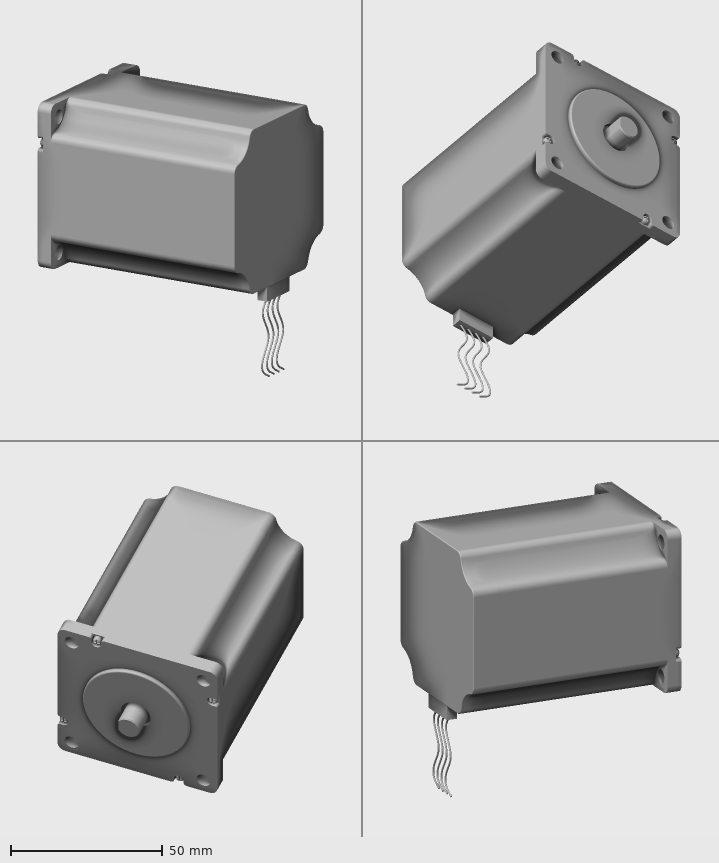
import cadquery as cq
import math


frame_side = 57.0
half_frame = frame_side / 2
motor_length = 76.1
front_cap_length = 8.0
rear_cap_length = 8.95
rear_fillet = 0.4

corner_cut_radius = 9.6
corner_cut_inset = 0.4
corner_fillet = 2.9

flange_thickness = 5.1
flange_corner_radius = 2.9
mounting_hole_diameter = 5.0
mounting_hole_spacing = 47.0

boss_diameter = 38.1
boss_height = 1.5
boss_fillet = 0.5
recess_diameter = 10.7
recess_depth = 1.5

shaft_diameter = 8.3
shaft_protrusion = 8.4
shaft_chamfer = 0.4
shaft_flat_distance = 3.4

screw_offset = 14.8
screw_inset = 2.0
notch_width = 3.5
notch_depth = 2.0
notch_lip_radius = 1.0
screw_head_diameter = 3.0
screw_rim_height = 0.8
screw_dome_height = 1.2
cross_length = 2.3
cross_width = 0.5
cross_depth = 0.9

connector_length = 3.7
connector_width = 14.15
connector_height = 5.1
wire_diameter = 0.6
wire_count = 4
wire_pitch = 3.1
wire_bundle_offset = 0.4
wire_root_depth = 0.3
wire_bends = [
    (-2.5, -3.85), (1.2, -13.2), (-0.8, -17.6), (-2.95, -22.5), (-2.4, -24.45), (-0.7, -26.0), (1.5, -27.1)
]
wire_start_direction = (-1.0, -0.9)
wire_end_direction = (1.0, -0.6)

cos_45 = math.cos(math.radians(45))

boss_face_x = -boss_height
recess_floor_x = boss_face_x + recess_depth
rear_split_x = motor_length - rear_cap_length
connector_rear_x = motor_length - rear_fillet
connector_bottom_z = -half_frame - connector_height


def axial_sketch(x):
    """Sketch plane facing the rear at the given X, with local axes Y and Z."""
    return cq.Workplane("YZ", origin=(x, 0, 0))


def frame_section(x_start, x_end):
    """Length of the motor body with its four hollow corners."""
    length = x_end - x_start
    cut_axis_spacing = frame_side - 2 * corner_cut_inset
    corner_cuts = (
        axial_sketch(x_start)
        .rect(cut_axis_spacing, cut_axis_spacing, forConstruction=True)
        .vertices()
        .circle(corner_cut_radius)
        .extrude(length)
    )
    return (
        axial_sketch(x_start)
        .rect(frame_side, frame_side)
        .extrude(length)
        .cut(corner_cuts)
        .edges("|X")
        .fillet(corner_fillet)
    )


def make_flange():
    return (
        axial_sketch(0)
        .rect(frame_side, frame_side)
        .extrude(flange_thickness)
        .edges("|X")
        .fillet(flange_corner_radius)
        .faces("<X")
        .workplane(origin=(0, 0, 0))
        .rect(mounting_hole_spacing, mounting_hole_spacing, forConstruction=True)
        .vertices()
        .hole(mounting_hole_diameter)
    )


def make_boss():
    return (
        axial_sketch(boss_face_x)
        .circle(boss_diameter / 2)
        .extrude(boss_height)
        .faces("<X")
        .edges()
        .fillet(boss_fillet)
    )


def make_notch():
    """Cutter for the notch in the +Z side of the flange, its mouth flared by two rounded lips."""
    half_width = notch_width / 2
    half_mouth = half_width + notch_lip_radius
    lip_sag = notch_lip_radius * (1 - cos_45)
    mouth_z = half_frame
    lip_z = mouth_z - notch_lip_radius
    bottom_z = mouth_z - screw_inset
    return (
        axial_sketch(0)
        .moveTo(screw_offset - half_mouth, mouth_z)
        .threePointArc(
            (screw_offset - half_width - lip_sag, mouth_z - lip_sag),
            (screw_offset - half_width, lip_z),
        )
        .lineTo(screw_offset - half_width, bottom_z)
        .threePointArc(
            (screw_offset, bottom_z - half_width),
            (screw_offset + half_width, bottom_z),
        )
        .lineTo(screw_offset + half_width, lip_z)
        .threePointArc(
            (screw_offset + half_width + lip_sag, mouth_z - lip_sag),
            (screw_offset + half_mouth, mouth_z),
        )
        .close()
        .extrude(notch_depth)
    )


def make_screw_head():
    """Domed head standing on the floor of the notch in the +Z side, with a cross recess."""
    radius = screw_head_diameter / 2
    height = screw_rim_height + screw_dome_height
    dome_radius = (radius ** 2 + screw_dome_height ** 2) / (2 * screw_dome_height)
    dome_centre = dome_radius - height
    mid_dome = dome_radius * cos_45
    head = (
        cq.Workplane("XY")
        .lineTo(0, radius)
        .lineTo(-screw_rim_height, radius)
        .threePointArc((dome_centre - mid_dome, mid_dome), (-height, 0))
        .close()
        .revolve(360, (0, 0, 0), (1, 0, 0))
    )
    bars = cq.Workplane("YZ", origin=(-height, 0, 0)).rect(cross_length, cross_width).extrude(cross_depth)
    cross = bars.union(bars.rotate((0, 0, 0), (1, 0, 0), 90))
    return head.cut(cross).translate((notch_depth, screw_offset, half_frame - screw_inset))


def make_front_cap():
    cap = make_flange().union(frame_section(flange_thickness, front_cap_length)).union(make_boss())
    notch = make_notch()
    screw_head = make_screw_head()
    for side in range(4):
        angle = 90 * side
        cap = cap.cut(notch.rotate((0, 0, 0), (1, 0, 0), angle))
        cap = cap.union(screw_head.rotate((0, 0, 0), (1, 0, 0), angle))
    recess = axial_sketch(boss_face_x).circle(recess_diameter / 2).extrude(recess_depth)
    bore = axial_sketch(boss_face_x).circle(shaft_diameter / 2).extrude(boss_height + front_cap_length)
    return cap.cut(recess).cut(bore)


def make_stator():
    return frame_section(front_cap_length, rear_split_x)


def make_connector():
    return cq.Workplane("XY").box(
        connector_length, connector_width, connector_height, centered=(False, True, False)
    ).translate((connector_rear_x - connector_length, 0, connector_bottom_z))


def make_wire(exit_y):
    """Wavy round wire hanging from the connector."""
    wire_x = connector_rear_x - connector_length / 2
    slope = wire_start_direction[0] / wire_start_direction[1]
    root = (slope * wire_root_depth, wire_root_depth)
    points = [(exit_y + y, connector_bottom_z + z) for y, z in [root] + wire_bends]
    path = axial_sketch(wire_x).spline(points, tangents=[wire_start_direction, wire_end_direction])
    start = cq.Plane(
        origin=(wire_x, *points[0]), xDir=(1, 0, 0), normal=(0, *wire_start_direction)
    )
    return cq.Workplane(start).circle(wire_diameter / 2).sweep(path)


def make_rear_cap():
    cap = (
        frame_section(rear_split_x, motor_length)
        .faces(">X")
        .edges()
        .fillet(rear_fillet)
        .union(make_connector())
    )
    for index in range(wire_count):
        exit_y = wire_bundle_offset + (index - (wire_count - 1) / 2) * wire_pitch
        cap = cap.union(make_wire(exit_y))
    return cap


def make_shaft():
    """Shaft with a flat on its +Y side from the tip to the recess floor."""
    shaft = (
        axial_sketch(-shaft_protrusion)
        .circle(shaft_diameter / 2)
        .extrude(shaft_protrusion + front_cap_length)
        .faces("<X")
        .chamfer(shaft_chamfer)
    )
    flat_length = shaft_protrusion + recess_floor_x
    flat_cut = cq.Workplane("XY").box(
        flat_length, shaft_diameter, shaft_diameter, centered=(False, False, True)
    ).translate((-shaft_protrusion, shaft_flat_distance, 0))
    return shaft.cut(flat_cut)


front_cap = make_front_cap()
stator = make_stator()
rear_cap = make_rear_cap()
shaft = make_shaft()

result = cq.Compound.makeCompound([front_cap.val(), stator.val(), rear_cap.val(), shaft.val()])